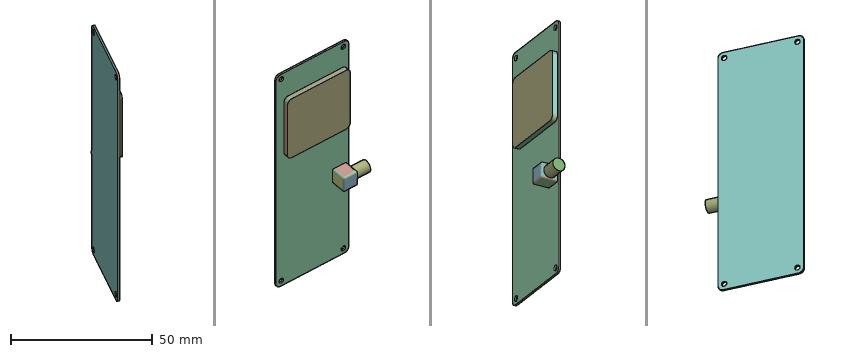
import cadquery as cq

plate_height = 100.1
plate_width = 32.8
plate_thickness = 0.8
plate_corner_radius = 2.0
hole_diameter = 2.0
hole_inset = 2.4

pad_width = 28.3
pad_height = 27.8
pad_thickness = 2.0
pad_corner_radius = 2.0
pad_top_inset = 11.9
side_inset = 0.9

block_size = 6.5
block_depth = 6.5
block_fillet = 0.7
connector_z = -10.8
barrel_diameter = 5.0
barrel_overhang = 5.5
barrel_axis_height = 3.1

plate_left = -plate_width / 2
mount_left = plate_left + side_inset


def back_block(width, depth, height, center_z):
    """Box on the plate's back face, starting at the common left inset."""
    return cq.Workplane("XY").box(width, depth, height, centered=(False, False, True)).translate(
        (mount_left, plate_thickness, center_z)
    )


def make_plate():
    plate = (
        cq.Workplane("XY")
        .box(plate_width, plate_thickness, plate_height, centered=(True, False, True))
        .edges("|Y")
        .fillet(plate_corner_radius)
    )
    return (
        plate.faces("<Y")
        .workplane(centerOption="CenterOfBoundBox")
        .rect(plate_width - 2 * hole_inset, plate_height - 2 * hole_inset, forConstruction=True)
        .vertices()
        .hole(hole_diameter)
    )


def make_pad():
    center_z = plate_height / 2 - pad_top_inset - pad_height / 2
    pad = back_block(pad_width, pad_thickness, pad_height, center_z)
    return pad.edges("|Y").fillet(pad_corner_radius)


def make_connector():
    block = back_block(block_size, block_depth, block_size, connector_z)
    block = block.edges("|Y or >Y").fillet(block_fillet)
    barrel_start = (mount_left, plate_thickness + barrel_axis_height, connector_z)
    barrel_plane = cq.Plane(origin=barrel_start, xDir=(0, 0, 1), normal=(-1, 0, 0))
    barrel = cq.Workplane(barrel_plane).circle(barrel_diameter / 2).extrude(barrel_overhang + side_inset)
    return block.union(barrel)


result = make_plate().union(make_pad()).union(make_connector())